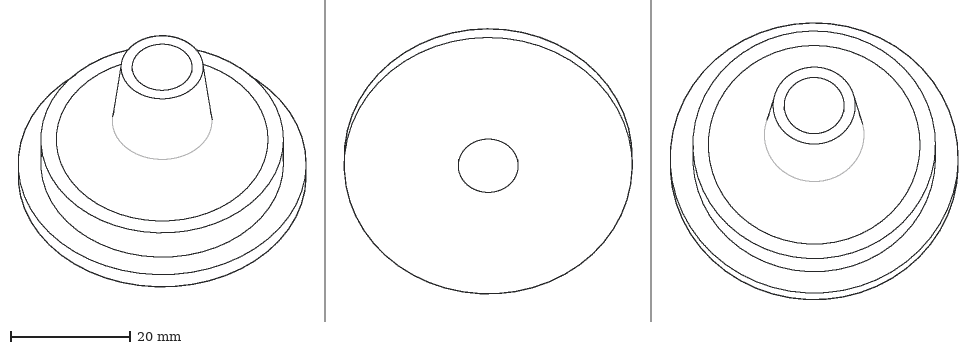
import cadquery as cq
import math

flange_diameter = 48.25
flange_height = 3.25
body_diameter = 40.65
body_top = 9.6

total_height = 28.55
neck_top_diameter = 13.75
neck_base_diameter = 16.7
neck_base_height = 14.45
bore_diameter = 10.05

groove_outer_radius = 35.45 / 2
groove_inner_radius = 22.7 / 2

neck_base_radius = neck_base_diameter / 2
groove_center_radius = (groove_outer_radius + groove_inner_radius) / 2
half_chord = (groove_outer_radius - groove_inner_radius) / 2
neck_offset = groove_center_radius - neck_base_radius
neck_rise = neck_base_height - body_top
center_rise = (neck_offset**2 + neck_rise**2 - half_chord**2) / (2 * neck_rise)
groove_radius = math.hypot(half_chord, center_rise)
groove_bottom = body_top + center_rise - groove_radius

section = (
    cq.Workplane("XZ")
    .moveTo(bore_diameter / 2, 0)
    .lineTo(flange_diameter / 2, 0)
    .lineTo(flange_diameter / 2, flange_height)
    .lineTo(body_diameter / 2, flange_height)
    .lineTo(body_diameter / 2, body_top)
    .lineTo(groove_outer_radius, body_top)
    .threePointArc((groove_center_radius, groove_bottom), (neck_base_radius, neck_base_height))
    .lineTo(neck_top_diameter / 2, total_height)
    .lineTo(bore_diameter / 2, total_height)
    .close()
)
result = section.revolve(360, (0, 0, 0), (0, 1, 0))